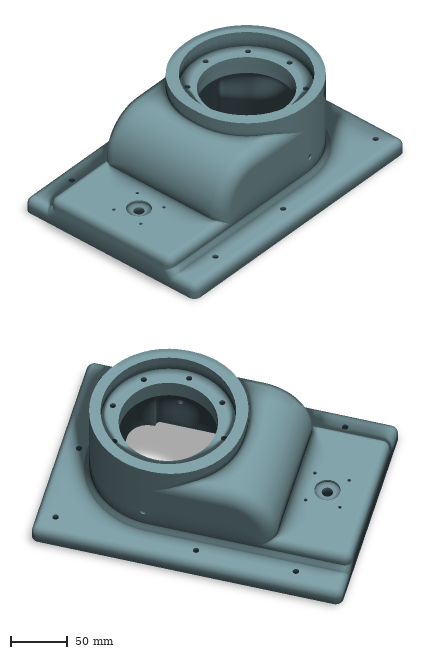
import cadquery as cq
import math

tiny = 0.03

base_width = 200.0
base_length = 285.0
base_height = 14.5
edge_radius = 7.0
front_y = -base_length / 2

hub_y = 42.8
hub_radius = 70.0
hub_height = 95.0
front_corner_radius = 66.5
skirt = 4.5
skirt_top = base_height + skirt
skirt_radius = hub_radius + skirt

step_height = 29.5

house_height = 80.5
house_arc_radius = 45.5
house_arc_y = hub_y - hub_radius
house_edge_radius = 12.8

seat_diameter = 120.0
seat_floor = 79.2
bore_diameter = 88.0
shelf_thickness = 17.7
screw_diameter = 5.5
screw_circle_radius = 52.5
screw_count = 8
first_screw_angle = 84.5

cavity_height = seat_floor - shelf_thickness
cavity_back_offset = 47.0
cavity_back_y = hub_y + cavity_back_offset
narrow_half_width = 52.7
narrow_corner_radius = 18.8
wide_half_width = 58.5
jog_straight = 2.3
wide_back_y = cavity_back_y - narrow_corner_radius - jog_straight
jog_outer_radius = 1.7
jog_inner_radius = 3.5
cavity_arc_radius = house_arc_radius - (house_height - cavity_height)

mount_diameter = 5.7
mount_back_x = 80.0
mount_back_y = 124.5
mount_side_x = 84.0
mount_side_ys = (-5.0, -96.5)

shaft_y = -103.0
shaft_diameter = 10.0
shaft_seat_diameter = 23.0
shaft_seat_depth = 2.8
pilot_diameter = 3.0
pilot_offset = 15.7

cross_diameter = 5.0
cross_offset = 4.5
cross_y = hub_y + cross_offset
cross_z = 34.5


def vertical_holes(points, diameter):
    """Cylinders through the full height at the given points."""
    return cq.Workplane("XY").pushPoints(points).circle(diameter / 2).extrude(hub_height)


def disc(diameter, bottom, top):
    """Cylinder on the hub axis."""
    return cq.Workplane("XY", origin=(0, hub_y, bottom)).circle(diameter / 2).extrude(top - bottom)


def at_height(height):
    """Selector for everything centred at the given height."""
    return cq.selectors.BoxSelector(
        (-base_width, -base_length, height - tiny),
        (base_width, base_length, height + tiny),
    )


def make_base_and_step():
    plate = (
        cq.Workplane("XY")
        .box(base_width, base_length, base_height, centered=(True, True, False))
        .edges("|Z").fillet(edge_radius)
    )
    step = (
        cq.Workplane("XZ", origin=(0, front_y, 0))
        .moveTo(-skirt_radius, 0)
        .lineTo(-skirt_radius, base_height)
        .lineTo(-hub_radius, skirt_top)
        .lineTo(-hub_radius, step_height)
        .lineTo(hub_radius, step_height)
        .lineTo(hub_radius, skirt_top)
        .lineTo(skirt_radius, base_height)
        .lineTo(skirt_radius, 0)
        .close()
        .extrude(front_y - hub_y)
    )
    body = plate.union(step)
    plate_rim = [
        edge for edge in body.edges(at_height(base_height)).vals()
        if abs(edge.Center().x) > skirt_radius + tiny or edge.Center().y > hub_y + tiny
    ]
    front_rim = [
        edge for edge in body.faces("<Y").edges().vals()
        if edge.Center().z > base_height + tiny
    ]
    step_sides = body.edges("|Y").edges(at_height(step_height)).vals()
    return body.newObject(plate_rim + front_rim + step_sides).fillet(edge_radius)


def make_hub():
    back = disc(2 * hub_radius, 0, hub_height)
    front = (
        cq.Workplane("XY")
        .box(2 * hub_radius, hub_radius, hub_height, centered=(True, False, False))
        .translate((0, hub_y - hub_radius, 0))
        .edges("|Z and <Y").fillet(front_corner_radius)
    )
    front_half = cq.Workplane("XY").box(
        base_width, base_length, hub_height, centered=(True, False, False)
    ).translate((0, hub_y - base_length, 0))
    cone = cq.Workplane(cq.Solid.makeCone(
        skirt_radius, hub_radius, skirt, pnt=cq.Vector(0, hub_y, base_height)
    ))
    return back.union(cone).cut(front_half).union(front)


def arched_block(half_width, height, arc_radius, back_y):
    """Block whose top front edge is rounded by a large arc."""
    return (
        cq.Workplane("YZ", origin=(-half_width, 0, 0))
        .moveTo(back_y, 0)
        .lineTo(back_y, height)
        .lineTo(house_arc_y, height)
        .radiusArc((house_arc_y - arc_radius, height - arc_radius), -arc_radius)
        .lineTo(house_arc_y - arc_radius, 0)
        .close()
        .extrude(2 * half_width)
    )


def make_house():
    back_y = hub_y - (hub_radius - front_corner_radius)
    block = arched_block(hub_radius, house_height, house_arc_radius, back_y)
    return block.faces(">Z").edges("<X or >X").fillet(house_edge_radius)


def make_cavity():
    narrow = (
        cq.Workplane("XY")
        .box(2 * narrow_half_width, cavity_back_y - house_arc_y, cavity_height,
             centered=(True, False, False))
        .translate((0, house_arc_y, 0))
        .edges("|Z and >Y").fillet(narrow_corner_radius)
    )
    wide = (
        arched_block(wide_half_width, cavity_height, cavity_arc_radius, wide_back_y)
        .edges("|Z and >Y").fillet(jog_inner_radius)
    )
    jog_edges = cq.selectors.BoxSelector(
        (-narrow_half_width - tiny, wide_back_y - tiny, 0),
        (narrow_half_width + tiny, wide_back_y + tiny, cavity_height),
    )
    return narrow.union(wide).edges("|Z").edges(jog_edges).fillet(jog_outer_radius)


def make_screw_holes():
    angles = [math.radians(first_screw_angle + i * 360 / screw_count) for i in range(screw_count)]
    points = [
        (screw_circle_radius * math.cos(a), hub_y + screw_circle_radius * math.sin(a))
        for a in angles
    ]
    depth = seat_floor - cavity_height
    return (
        cq.Workplane("XY", origin=(0, 0, cavity_height))
        .pushPoints(points).circle(screw_diameter / 2).extrude(depth)
    )


mount_points = [(x, mount_back_y) for x in (-mount_back_x, 0, mount_back_x)]
mount_points += [(x, y) for x in (-mount_side_x, mount_side_x) for y in mount_side_ys]
pilot_points = [
    (x, shaft_y + dy)
    for x in (-pilot_offset, pilot_offset)
    for dy in (-pilot_offset, pilot_offset)
]
shaft_seat = (
    cq.Workplane("XY", origin=(0, shaft_y, step_height - shaft_seat_depth))
    .circle(shaft_seat_diameter / 2)
    .extrude(shaft_seat_depth)
)
cross_hole = (
    cq.Workplane("YZ", origin=(-base_width / 2, cross_y, cross_z))
    .circle(cross_diameter / 2)
    .extrude(base_width)
)

result = (
    make_base_and_step()
    .union(make_hub())
    .union(make_house())
    .cut(make_cavity())
    .cut(disc(seat_diameter, seat_floor, hub_height))
    .cut(disc(bore_diameter, 0, hub_height))
    .cut(make_screw_holes())
    .cut(vertical_holes(mount_points, mount_diameter))
    .cut(vertical_holes(pilot_points, pilot_diameter))
    .cut(vertical_holes([(0, shaft_y)], shaft_diameter))
    .cut(shaft_seat)
    .cut(cross_hole)
)